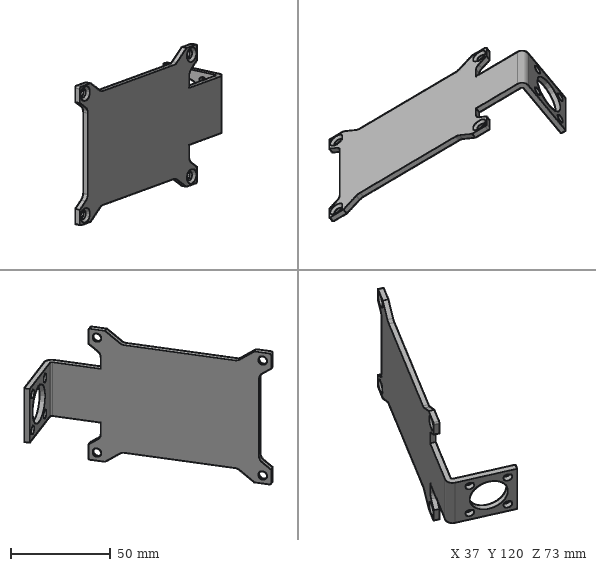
import cadquery as cq
import math

sheet = 3.0
flange_reach = 37.0
total_length = 120.0
plate_length = 97.0
plate_height = 73.0
tab_height = 30.0
bend_inner_radius = 1.0
bend_outer_radius = bend_inner_radius + sheet

ear_inset = 6.5
ear_flat_y = 8.9
ear_flat_z = 8.4
ear_corner_radius = 1.0
ear_root_radius = 4.0
hole_margin = 4.5
hole_diameter = 4.5
countersink_diameter = 7.5
countersink_angle = 90

bore_diameter = 20.0
bore_from_tip = 15.0
flange_hole_spacing = 20.0

half_length = plate_length / 2
half_height = plate_height / 2
body_half_length = half_length - ear_inset
body_half_height = half_height - ear_inset
hole_pitch_y = plate_length - 2 * hole_margin
hole_pitch_z = plate_height - 2 * hole_margin
flange_face = total_length - half_length

flank_slope = hole_pitch_z / hole_pitch_y
flank_run_y = ear_inset / flank_slope
flank_rise_z = ear_inset * flank_slope


def plate_solid(half_y, half_z):
    """Centred rectangular plate with its outer face at X = 0."""
    return cq.Workplane("XY").box(sheet, 2 * half_y, 2 * half_z).translate((-sheet / 2, 0, 0))


def ear(sign_y, sign_z):
    """Corner ear, reaching inward to the plate centre."""
    outline = [
        (half_length, half_height),
        (half_length - ear_flat_y, half_height),
        (half_length - ear_flat_y - flank_run_y, body_half_height),
        (0, body_half_height),
        (0, 0),
        (body_half_length, 0),
        (body_half_length, half_height - ear_flat_z - flank_rise_z),
        (half_length, half_height - ear_flat_z),
    ]
    points = [(sign_y * y, sign_z * z) for y, z in outline]
    return cq.Workplane("YZ").polyline(points).close().extrude(-sheet)


def round_edges(body, y, z, radius):
    """Round the four mirrored X-direction edges at (+-y, +-z)."""
    reach = 0.1
    for sign_y in (-1, 1):
        for sign_z in (-1, 1):
            centre_y = sign_y * y
            centre_z = sign_z * z
            box = cq.selectors.BoxSelector(
                (-2 * sheet, centre_y - reach, centre_z - reach),
                (sheet, centre_y + reach, centre_z + reach),
            )
            body = body.edges("|X").edges(box).fillet(radius)
    return body


def eared_plate():
    plate = plate_solid(body_half_length, body_half_height)
    for sign_y in (-1, 1):
        for sign_z in (-1, 1):
            plate = plate.union(ear(sign_y, sign_z))
    plate = plate.clean()
    plate = round_edges(plate, half_length, half_height, ear_corner_radius)
    root_y = half_length - ear_flat_y - flank_run_y
    root_z = half_height - ear_flat_z - flank_rise_z
    plate = round_edges(plate, root_y, body_half_height, ear_root_radius)
    plate = round_edges(plate, body_half_length, root_z, ear_root_radius)
    return (
        plate.copyWorkplane(cq.Workplane("YZ"))
        .rarray(hole_pitch_y, hole_pitch_z, 2, 2)
        .cskHole(hole_diameter, countersink_diameter, countersink_angle)
    )


def bent_tab():
    """Tab continuing the plate, bent into the flange towards -X."""
    bend_x = -bend_outer_radius
    bend_y = flange_face - bend_outer_radius
    diagonal = math.sqrt(0.5)

    def bend_middle(radius):
        return (bend_x + radius * diagonal, bend_y + radius * diagonal)

    return (
        cq.Workplane("XY")
        .workplane(offset=-tab_height / 2)
        .moveTo(0, 0)
        .lineTo(0, bend_y)
        .threePointArc(bend_middle(bend_outer_radius), (bend_x, flange_face))
        .lineTo(-flange_reach, flange_face)
        .lineTo(-flange_reach, flange_face - sheet)
        .lineTo(bend_x, flange_face - sheet)
        .threePointArc(bend_middle(bend_inner_radius), (-sheet, bend_y))
        .lineTo(-sheet, 0)
        .close()
        .extrude(tab_height)
    )


def flange_cutters():
    """Large bore and the four screw holes around it, along Y."""
    face = cq.Workplane("XZ", origin=(bore_from_tip - flange_reach, flange_face, 0))
    bore = face.circle(bore_diameter / 2).extrude(sheet)
    screws = (
        face.rarray(flange_hole_spacing, flange_hole_spacing, 2, 2)
        .circle(hole_diameter / 2)
        .extrude(sheet)
    )
    return bore.union(screws)


result = eared_plate().union(bent_tab()).cut(flange_cutters()).clean()